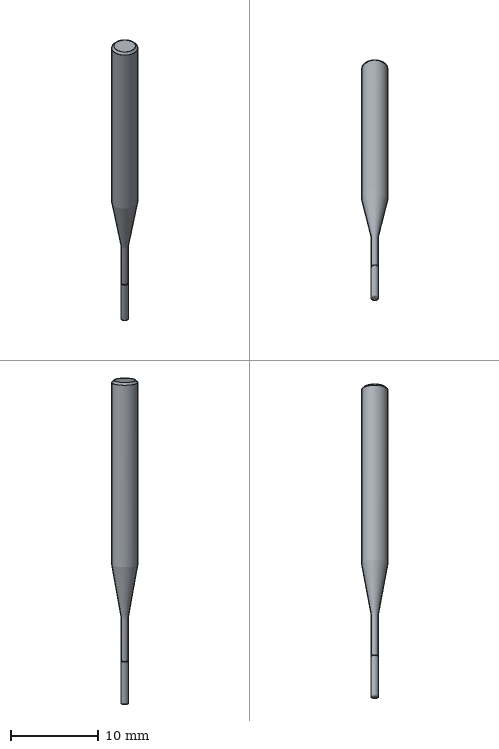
import cadquery as cq

TOTAL_LENGTH = 38.0
SHANK_RADIUS = 3.0 / 2
NECK_RADIUS = 0.85 / 2
CUTTER_RADIUS = 0.9 / 2

CUTTER_LENGTH = 5.0
SHOULDER_LENGTH = 0.08
NECK_END = 10.0
CONE_START = 10.37
CONE_END = 16.35

SHANK_CHAMFER = 0.25
TIP_CORNER_RADIUS = 0.2
BLEND_RISE = 0.035
CONE_START_RADIUS = NECK_RADIUS + BLEND_RISE


def make_cutter():
    """Cylindrical cutting head with a rounded tip corner."""
    cutter = cq.Workplane("XY").circle(CUTTER_RADIUS).extrude(CUTTER_LENGTH)
    return cutter.faces("<Z").edges().fillet(TIP_CORNER_RADIUS)


def make_shank():
    """Shank, cone and neck with a curved blend between them, turned as one piece and resting on the cutter."""
    return (
        cq.Workplane("XZ")
        .moveTo(0, CUTTER_LENGTH)
        .lineTo(CUTTER_RADIUS, CUTTER_LENGTH)
        .lineTo(NECK_RADIUS, CUTTER_LENGTH + SHOULDER_LENGTH)
        .lineTo(NECK_RADIUS, NECK_END)
        .tangentArcPoint((CONE_START_RADIUS, CONE_START), relative=False)
        .lineTo(SHANK_RADIUS, CONE_END)
        .lineTo(SHANK_RADIUS, TOTAL_LENGTH - SHANK_CHAMFER)
        .lineTo(SHANK_RADIUS - SHANK_CHAMFER, TOTAL_LENGTH)
        .lineTo(0, TOTAL_LENGTH)
        .close()
        .revolve(360, (0, 0, 0), (0, 1, 0))
    )


cutter = make_cutter()
shank = make_shank()
result = cq.Compound.makeCompound([cutter.val(), shank.val()])